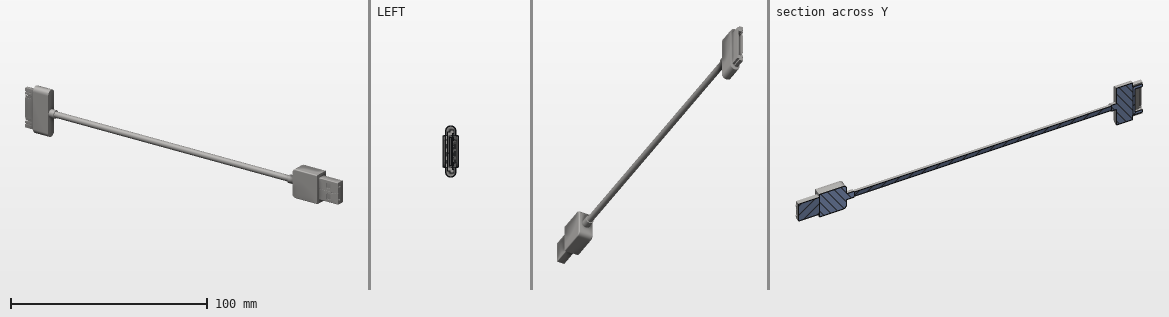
import cadquery as cq

DOCK_FACE = 5.7
DOCK_BACK = 15.0
CABLE_START = 18.0
CABLE_END = 163.3
USB_BACK = 167.4
USB_FACE = 183.0
SHELL_END = 194.7
TOTAL_LENGTH = 195.3

CABLE_DIA = 3.3
RELIEF_DIA = 4.5

DOCK_HEIGHT = 26.0
DOCK_THICKNESS = 5.3

PLUG_THICKNESS = 3.1
PLUG_FRONT_HEIGHT = 21.9
PLUG_REAR_HEIGHT = 20.0
PLUG_STEP_Y = 0.4
PLUG_WALL = 0.5
MOUTH_HEIGHT = 15.6
MOUTH_DEPTH = 4.3
TONGUE_THICKNESS = 0.5
TONGUE_INSET = 2.0
TONGUE_END_GAP = 0.5

SLOT_LENGTH = 4.0
OUTER_SLOT_HEIGHT = 0.5
OUTER_SLOT_Z = 8.8
INNER_SLOT_HEIGHT = 1.8
INNER_SLOT_Z = 6.5
SLOT_LEDGE_HEIGHT = 1.2

USB_HEIGHT = 16.0
USB_THICKNESS = 8.0
USB_CORNER_RADIUS = 2.3
USB_EDGE_RADIUS = 0.5

SHELL_HEIGHT = 12.1
SHELL_THICKNESS = 4.3
SHELL_EDGE_RADIUS = 0.4
SHELL_WALL = 0.4
WINDOW_LENGTH = 2.3
WINDOW_HEIGHT = 3.0
WINDOW_CHAMFER = 0.4
WINDOW_X = 188.8
WINDOW_Z = 3.0
SEAM_WIDTH = 0.1
SEAM_KEY_LENGTH = 1.8
SEAM_KEY_HEIGHT = 0.5
SEAM_KEY_X = 191.5
TIP_SIZE = 0.8
TIP_Y = -1.2
TIP_Z = 3.5

SIDES = (1, -1)


def box(x0, x1, y0, y1, z0, z1):
    """Box between opposite corners."""
    return cq.Workplane("XY").box(x1 - x0, y1 - y0, z1 - z0, centered=False).translate((x0, y0, z0))


def cylinder(x0, x1, diameter):
    """Round bar along the X axis."""
    return cq.Workplane("YZ").workplane(offset=x0).circle(diameter / 2).extrude(x1 - x0)


def slot_bar(depth, z_center, height):
    """Bar of one latch slot's length, reaching from y = 0 to the given depth."""
    return box(0, SLOT_LENGTH, 0, depth, z_center - height / 2, z_center + height / 2)


def latch_slots(side):
    """Cutter for one pair of slots; a ledge halves the wall across part of the inner slot."""
    outer_slot = slot_bar(PLUG_WALL, side * OUTER_SLOT_Z, OUTER_SLOT_HEIGHT)
    inner_slot = slot_bar(PLUG_WALL, side * INNER_SLOT_Z, INNER_SLOT_HEIGHT)
    ledge_z = INNER_SLOT_Z - (INNER_SLOT_HEIGHT - SLOT_LEDGE_HEIGHT) / 2
    ledge = slot_bar(PLUG_WALL, side * ledge_z, SLOT_LEDGE_HEIGHT)
    shallow = slot_bar(PLUG_WALL / 2, side * ledge_z, SLOT_LEDGE_HEIGHT)
    return outer_slot.union(inner_slot.cut(ledge)).union(shallow)


def make_dock_plug():
    half_y = PLUG_THICKNESS / 2
    front_y = -half_y
    front_half_z = PLUG_FRONT_HEIGHT / 2
    rear_half_z = PLUG_REAR_HEIGHT / 2
    front = box(0, DOCK_FACE, front_y, PLUG_STEP_Y, -front_half_z, front_half_z)
    rear = box(0, DOCK_FACE, PLUG_STEP_Y, half_y, -rear_half_z, rear_half_z)
    plug = front.union(rear)

    mouth_half_y = half_y - PLUG_WALL
    mouth_half_z = MOUTH_HEIGHT / 2
    tongue_half_y = TONGUE_THICKNESS / 2
    tongue_half_z = mouth_half_z - TONGUE_END_GAP
    plug = plug.cut(box(0, MOUTH_DEPTH, -mouth_half_y, mouth_half_y, -mouth_half_z, mouth_half_z))
    plug = plug.union(
        box(TONGUE_INSET, DOCK_FACE, -tongue_half_y, tongue_half_y, -tongue_half_z, tongue_half_z)
    )

    for side in SIDES:
        plug = plug.cut(latch_slots(side).translate((0, front_y, 0)))
    return plug


def make_dock_housing():
    """Full-round bar with a strain relief on its back."""
    body = (
        cq.Workplane("YZ").workplane(offset=DOCK_FACE)
        .slot2D(DOCK_HEIGHT, DOCK_THICKNESS, angle=90)
        .extrude(DOCK_BACK - DOCK_FACE)
    )
    return body.union(cylinder(DOCK_BACK, CABLE_START, RELIEF_DIA))


def make_cable():
    return cylinder(CABLE_START, CABLE_END, CABLE_DIA)


def make_usb_housing():
    """Block rounded at the cable end, with a strain relief on its back."""
    half_y = USB_THICKNESS / 2
    half_z = USB_HEIGHT / 2
    body = box(USB_BACK, USB_FACE, -half_y, half_y, -half_z, half_z)
    body = body.edges("|Y and <X").fillet(USB_CORNER_RADIUS)
    long_edges = body.faces("<Y or >Y").edges("not >X")
    body = body.newObject(long_edges.vals()).fillet(USB_EDGE_RADIUS)
    return body.union(cylinder(CABLE_END, USB_BACK, RELIEF_DIA))


def window_cutter(side):
    """Blind window whose corners nearest the middle are chamfered."""
    cutter = cq.Workplane("XY").box(WINDOW_LENGTH, SHELL_WALL, WINDOW_HEIGHT, centered=(True, False, True))
    cutter = cutter.faces("<Z" if side > 0 else ">Z").edges("|Y").chamfer(WINDOW_CHAMFER)
    return cutter.translate((WINDOW_X, -SHELL_THICKNESS / 2, side * WINDOW_Z))


def make_usb_shell():
    half_y = SHELL_THICKNESS / 2
    half_z = SHELL_HEIGHT / 2
    shell = box(USB_FACE, SHELL_END, -half_y, half_y, -half_z, half_z)
    shell = shell.edges("|X").fillet(SHELL_EDGE_RADIUS)

    floor_y = -half_y + SHELL_WALL
    shell = shell.cut(box(USB_FACE, SHELL_END, -half_y, floor_y, -SEAM_WIDTH / 2, SEAM_WIDTH / 2))
    key_x0 = SEAM_KEY_X - SEAM_KEY_LENGTH / 2
    shell = shell.cut(box(key_x0, key_x0 + SEAM_KEY_LENGTH, -half_y, floor_y, -SEAM_KEY_HEIGHT, 0))

    half_tip = TIP_SIZE / 2
    for side in SIDES:
        tip_z = side * TIP_Z
        shell = shell.cut(window_cutter(side))
        shell = shell.union(
            box(SHELL_END, TOTAL_LENGTH, TIP_Y - half_tip, TIP_Y + half_tip, tip_z - half_tip, tip_z + half_tip)
        )
    return shell


dock_plug = make_dock_plug()
dock_housing = make_dock_housing()
cable = make_cable()
usb_housing = make_usb_housing()
usb_shell = make_usb_shell()

result = cq.Compound.makeCompound(
    [dock_plug.val(), dock_housing.val(), cable.val(), usb_housing.val(), usb_shell.val()]
)